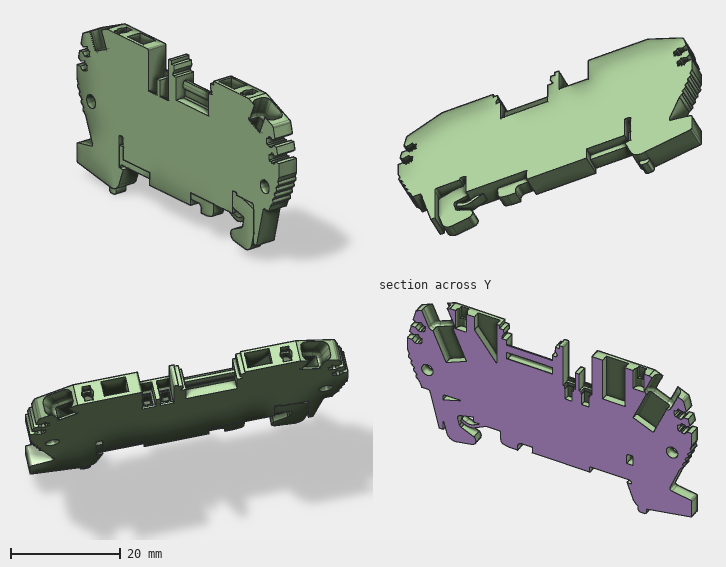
import cadquery as cq
import math

HALF_LENGTH = 29.75
THICKNESS = 4.1
TOP_Z = 32.2
CLEARANCE = 0.6

SHOULDER_X = 20.8
SHOULDER_END_X = 28.0
SHOULDER_END_Z = 29.05
SHOULDER_ANGLE = math.degrees(math.atan2(TOP_Z - SHOULDER_END_Z, SHOULDER_END_X - SHOULDER_X))
SHOULDER_ROUND = 0.7
SIDE_TOP_Z = 22.2

RIB_COUNT = 4
RIB_START_X = 29.4
RIB_START_Z = 18.45
RIB_STEP_X = 0.55
RIB_STEP_Z = 1.35
RIB_BULGE = 0.25
RIB_ROUND_HEIGHT = 0.85
RIB_UNDERSIDE_X = 0.05
SIDE_BOTTOM_Z = 19.4
RIB_END_X = RIB_START_X - RIB_COUNT * RIB_STEP_X
RIB_END_Z = RIB_START_Z - RIB_COUNT * RIB_STEP_Z

RAIL_Z = 7.8
KEEL_Z = 5.3
KEEL_LEFT_X = -8.4
KEEL_RIGHT_X = 3.7
LEFT_SLOT_X = -17.4
SLOT_WIDTH = 1.25
SLOT_TOP_Z = 12.3
SMALL_ROUND = 0.35
RIGHT_STEP_X = 16.0
PRONG_X = 22.3
PRONG_ROOT_Z = 11.8
PRONG_ROUND = 0.55
PRONG_OUTER_X = 25.15
PRONG_TIP_Z = 3.75
TOE_Z = 5.95
FOOT_TOP_Z = 6.7
FOOT_BOTTOM_Z = 2.85
FOOT_CORNER = (-25.0, 7.5)
FOOT_ROUND = 0.5

TEST_LEFT_X = -8.75
TEST_RIGHT_X = -2.85
TEST_FLOOR_Z = 23.9
TEST_WALL_Z = 27.15
TEST_WALL_THICKNESS = 0.5
DIVIDER_LEFT_X = -6.2
DIVIDER_RIGHT_X = -5.35
BRIDGE_LEFT_X = -0.55
BRIDGE_RIGHT_X = 9.0
BRIDGE_FLOOR_Z = 24.8
LEDGE_Z = 29.35
TOP_ROUND = 0.25

FOOT_FRONT_Y = 0.09
FOOT_BACK_Y = 2.45
STRIP_Z = 6.55
STRIP_TOP_Z = 10.3


def plate(sketch_path, front_y=0.0, back_y=THICKNESS):
    """Close an XZ path drawn at Y = 0 and thicken it from front_y to back_y."""
    return sketch_path.close().extrude(front_y - back_y).translate((0, front_y, 0))


def path(*points):
    return cq.Workplane("XZ").polyline(points)


def box(x_range, y_range, z_range):
    size = [high - low for low, high in (x_range, y_range, z_range)]
    corner = (x_range[0], y_range[0], z_range[0])
    return cq.Workplane("XY").box(*size, centered=False).translate(corner)


def both_ends(left_tool):
    return left_tool.union(left_tool.mirror("YZ"))


def round_corner(solid, x, z, radius):
    """Round the edge running along Y that passes through (x, z)."""
    edge = cq.selectors.NearestToPointSelector((x, THICKNESS / 2, z))
    return solid.edges("|Y").edges(edge).fillet(radius)


def make_blank():
    """Housing outline before the top openings, marker notches and ribs."""
    outline = (
        cq.Workplane("XZ")
        .moveTo(-SHOULDER_X, TOP_Z)
        .lineTo(-SHOULDER_END_X, SHOULDER_END_Z)
        .lineTo(-HALF_LENGTH, SIDE_TOP_Z)
        .lineTo(-HALF_LENGTH, SIDE_BOTTOM_Z)
        .lineTo(-RIB_START_X, RIB_START_Z)
        .lineTo(-RIB_END_X, RIB_END_Z)
        .lineTo(*FOOT_CORNER)
        .lineTo(-HALF_LENGTH, FOOT_TOP_Z)
        .lineTo(-HALF_LENGTH, FOOT_BOTTOM_Z)
        .lineTo(-20.3, 1.2)
        .threePointArc((-18.45, 1.3), (-17.45, 2.3))
        .lineTo(-16.1, 5.85)
        .lineTo(LEFT_SLOT_X, TOE_Z)
        .lineTo(LEFT_SLOT_X, RAIL_Z)
        .lineTo(KEEL_LEFT_X, RAIL_Z)
        .lineTo(KEEL_LEFT_X, KEEL_Z)
        .lineTo(KEEL_RIGHT_X, KEEL_Z)
        .lineTo(KEEL_RIGHT_X, RAIL_Z)
        .lineTo(RIGHT_STEP_X, RAIL_Z)
        .lineTo(RIGHT_STEP_X, PRONG_ROOT_Z)
        .lineTo(PRONG_X, PRONG_ROOT_Z)
        .lineTo(PRONG_X, PRONG_TIP_Z)
        .lineTo(23.15, PRONG_TIP_Z)
        .lineTo(PRONG_OUTER_X, PRONG_ROOT_Z)
        .lineTo(26.8, PRONG_ROOT_Z)
        .lineTo(RIB_END_X, RIB_END_Z)
        .lineTo(RIB_START_X, RIB_START_Z)
        .lineTo(HALF_LENGTH, SIDE_BOTTOM_Z)
        .lineTo(HALF_LENGTH, SIDE_TOP_Z)
        .lineTo(SHOULDER_END_X, SHOULDER_END_Z)
        .lineTo(SHOULDER_X, TOP_Z)
    )
    blank = plate(outline)
    for side in (-1, 1):
        blank = round_corner(blank, side * SHOULDER_END_X, SHOULDER_END_Z, SHOULDER_ROUND)
    blank = round_corner(blank, *FOOT_CORNER, FOOT_ROUND)
    for foot_z in (FOOT_TOP_Z, FOOT_BOTTOM_Z):
        blank = round_corner(blank, -HALF_LENGTH, foot_z, SMALL_ROUND)
    blank = round_corner(blank, PRONG_X, PRONG_ROOT_Z, PRONG_ROUND)
    return round_corner(blank, PRONG_OUTER_X, PRONG_ROOT_Z, SMALL_ROUND)


def rail_slots():
    """Round-topped slots at the two ends of the rail seat."""
    slots = cq.Workplane("XY")
    for left_x, bottom_z in ((LEFT_SLOT_X, RAIL_Z - CLEARANCE), (RIGHT_STEP_X, PRONG_ROOT_Z - CLEARANCE)):
        slot = box((left_x, left_x + SLOT_WIDTH), (0, THICKNESS), (bottom_z, SLOT_TOP_Z))
        slots = slots.add(slot.edges("|Y and >Z").fillet(SMALL_ROUND))
    return slots.combine()


def grip_ribs():
    ribs = cq.Workplane("XY")
    for i in range(RIB_COUNT):
        x = -RIB_START_X + i * RIB_STEP_X
        z = RIB_START_Z - i * RIB_STEP_Z
        crest = (x - RIB_BULGE, z - RIB_ROUND_HEIGHT / 2)
        underside = (x + RIB_UNDERSIDE_X, z - RIB_ROUND_HEIGHT)
        rib = cq.Workplane("XZ").moveTo(x, z).threePointArc(crest, underside)
        rib = rib.lineTo(x + RIB_STEP_X, z - RIB_STEP_Z).lineTo(x + RIB_STEP_X, z)
        ribs = ribs.add(plate(rib))
    return both_ends(ribs.combine())


def marker_notches():
    """Two undercut snap notches in each end, the lower one shifted along the slanted side."""
    upper = plate(path(
        (-29.4, 27.35), (-27.95, 26.3), (-26.85, 26.65), (-26.6, 26.2), (-26.05, 26.0), (-26.1, 25.0),
        (-26.4, 24.8), (-26.8, 25.0), (-26.9, 24.65), (-27.5, 24.65), (-28.1, 25.2), (-29.65, 25.2),
    ))
    lower = upper.translate((-0.7, 0, -3.05))
    return both_ends(upper.union(lower))


def top_openings():
    """Test-plug opening and bridge opening with its snap edges."""
    lip_z = 31.5
    above_z = TOP_Z + CLEARANCE
    left_edge_x, right_edge_x = -1.95, 10.5
    test = box((TEST_LEFT_X, TEST_RIGHT_X), (0, THICKNESS), (TEST_FLOOR_Z, above_z))
    bridge = plate(path(
        (BRIDGE_LEFT_X, BRIDGE_FLOOR_Z), (BRIDGE_LEFT_X, LEDGE_Z), (-1.3, LEDGE_Z), (-1.55, 29.65),
        (-1.1, 30.5), (-1.2, lip_z), (left_edge_x, lip_z), (left_edge_x, above_z),
        (right_edge_x, above_z), (right_edge_x, lip_z), (9.65, lip_z), (9.5, 30.5),
        (9.95, 29.8), (9.95, LEDGE_Z), (BRIDGE_RIGHT_X, LEDGE_Z), (BRIDGE_RIGHT_X, BRIDGE_FLOOR_Z),
    ))
    return test.union(bridge)


def test_walls():
    """Back wall and divider left standing in the test-plug opening."""
    heights = (TEST_FLOOR_Z, TEST_WALL_Z)
    back = box((TEST_LEFT_X, TEST_RIGHT_X), (THICKNESS - TEST_WALL_THICKNESS, THICKNESS), heights)
    return back.union(box((DIVIDER_LEFT_X, DIVIDER_RIGHT_X), (0, THICKNESS), heights))


def test_sockets():
    """Sockets stepping down in three levels on both sides of the divider."""
    levels = (
        ((TEST_LEFT_X, DIVIDER_LEFT_X), (DIVIDER_RIGHT_X, TEST_RIGHT_X), (0.35, 3.6), 0.6),
        ((-8.4, -6.6), (-4.9, -3.15), (0.9, 3.05), 1.2),
        ((-8.15, -6.7), (-4.6, -3.3), (1.1, 2.8), 3.55),
    )
    sockets = cq.Workplane("XY")
    for left_x, right_x, y_range, depth in levels:
        for x_range in (left_x, right_x):
            sockets = sockets.union(box(x_range, y_range, (TEST_FLOOR_Z - depth, TEST_FLOOR_Z)))
    return sockets


def bridge_bar():
    """Contact bar with a crowned head, running along the bridge opening."""
    web_y, back_y, top_z = 2.1, 2.45, 28.2
    section = (
        cq.Workplane("YZ")
        .moveTo(1.7, BRIDGE_FLOOR_Z)
        .lineTo(web_y, 25.1)
        .lineTo(web_y, 26.4)
        .threePointArc((1.7, 26.8), (1.6, 27.55))
        .lineTo(1.9, top_z)
        .lineTo(back_y, top_z)
        .lineTo(back_y, BRIDGE_FLOOR_Z)
        .close()
    )
    return section.extrude(BRIDGE_RIGHT_X - BRIDGE_LEFT_X).translate((BRIDGE_LEFT_X, 0, 0))


def wire_funnels():
    """Wire entries square to the shoulders: a wide mouth grazing the front face, then a deep hole."""
    centre_x = -24.1
    mouth_length, mouth_front_y, mouth_back_y = 5.8, -0.005, 3.8
    mouth_depth, mouth_corner, mouth_floor_round = 4.45, 1.3, 0.9
    hole_length, hole_front_y, hole_back_y = 4.5, 0.7, 2.9
    hole_depth, hole_corner = 11.3, 0.35
    mouth_x = (-mouth_length / 2, mouth_length / 2)
    mouth = box(mouth_x, (mouth_front_y, mouth_back_y), (-mouth_depth, CLEARANCE))
    mouth = mouth.edges("|Z").fillet(mouth_corner).faces("<Z").edges().fillet(mouth_floor_round)
    hole_x = (-hole_length / 2, hole_length / 2)
    hole = box(hole_x, (hole_front_y, hole_back_y), (-hole_depth, 0))
    tool = mouth.union(hole.edges("|Z").fillet(hole_corner))
    tool = tool.rotate((0, 0, 0), (0, 1, 0), -SHOULDER_ANGLE)
    shoulder_z = TOP_Z + (centre_x + SHOULDER_X) * math.tan(math.radians(SHOULDER_ANGLE))
    return both_ends(tool.translate((centre_x, 0, shoulder_z)))


def screw_holes():
    """Round blind holes in the top with a driver slot across them."""
    hole_x, hole_y, diameter, depth = 18.55, 1.9, 2.2, 4.15
    slot_width, slot_length, slot_depth = 1.55, 2.85, 2.4
    hole = cq.Workplane("XY").circle(diameter / 2).extrude(-depth)
    slot = cq.Workplane("XY").rect(slot_width, slot_length).extrude(-slot_depth)
    return both_ends(hole.union(slot).translate((-hole_x, hole_y, TOP_Z)))


def wire_windows():
    """Rectangular pockets in the top: a flat floor on the left, a floor rising to +X on the right."""
    near_x, far_x, y_range = 11.1, 15.7, (0.7, 3.6)
    shallow, deep = 3.0, 8.9
    left = box((-far_x, -near_x), y_range, (TOP_Z - deep, TOP_Z))
    right = plate(path(
        (near_x, TOP_Z), (far_x, TOP_Z), (far_x, TOP_Z - shallow), (near_x, TOP_Z - deep)), *y_range)
    return left.union(right)


def locating_holes():
    """Tapered blind holes in the front face, one at each end."""
    hole_x, hole_z, depth = 25.6, 16.25, 3.0
    mouth_diameter, floor_diameter = 2.6, 2.2
    hole = cq.Solid.makeCone(
        mouth_diameter / 2, floor_diameter / 2, depth, cq.Vector(-hole_x, 0, hole_z), cq.Vector(0, 1, 0))
    return both_ends(cq.Workplane("XY").add(hole))


def metal_foot():
    """Exposed parts of the rail foot: tab, strip, tongue and spring hook."""
    tab_left_x, tab_right_x, tab_root_z = -20.3, -18.4, 1.8
    tab = cq.Workplane("XZ").moveTo(tab_left_x, tab_root_z).lineTo(tab_left_x, 0.6)
    tab = tab.threePointArc((-20.2, 0.25), (-19.8, 0)).lineTo(-18.85, 0)
    tab = tab.threePointArc((-18.5, 0.3), (tab_right_x, 0.8)).lineTo(tab_right_x, tab_root_z)

    slot_right_x = LEFT_SLOT_X + SLOT_WIDTH
    strip = cq.Workplane("XZ").moveTo(LEFT_SLOT_X, STRIP_TOP_Z).lineTo(LEFT_SLOT_X, TOE_Z).lineTo(-17.0, TOE_Z)
    strip = strip.threePointArc((-16.95, 6.35), (-16.6, STRIP_Z)).lineTo(KEEL_LEFT_X, STRIP_Z)
    strip = strip.lineTo(KEEL_LEFT_X, RAIL_Z).lineTo(slot_right_x, RAIL_Z).lineTo(slot_right_x, STRIP_TOP_Z)

    tip_z = 4.75
    tongue = cq.Workplane("XZ").moveTo(KEEL_RIGHT_X, RAIL_Z).lineTo(KEEL_RIGHT_X, STRIP_Z)
    tongue = tongue.lineTo(5.9, STRIP_Z)
    tongue = tongue.threePointArc((6.5, 6.25), (6.7, 5.65)).lineTo(6.7, tip_z).lineTo(8.45, tip_z)
    tongue = tongue.lineTo(9.6, 5.0).threePointArc((10.1, 5.35), (10.3, 5.9)).lineTo(10.4, RAIL_Z)

    hook = (
        cq.Workplane("XZ")
        .moveTo(RIGHT_STEP_X, SLOT_TOP_Z)
        .lineTo(RIGHT_STEP_X, 8.9)
        .lineTo(18.6, 8.3)
        .threePointArc((19.15, 8.0), (19.2, 7.5))
        .lineTo(18.85, 6.1)
        .lineTo(18.5, 5.7)
        .lineTo(15.8, 4.5)
        .threePointArc((15.4, 3.55), (16.3, 2.5))
        .lineTo(19.65, 1.9)
        .threePointArc((20.8, 2.2), (21.6, 3.35))
        .lineTo(PRONG_X, 5.95)
        .lineTo(PRONG_X, 10.65)
        .lineTo(18.7, PRONG_ROOT_Z)
        .lineTo(RIGHT_STEP_X + SLOT_WIDTH, PRONG_ROOT_Z)
        .lineTo(RIGHT_STEP_X + SLOT_WIDTH, SLOT_TOP_Z)
    )
    foot = cq.Workplane("XY")
    for part in (tab, strip, tongue, hook):
        foot = foot.union(plate(part, FOOT_FRONT_Y, FOOT_BACK_Y))
    return foot


def spring_leaf():
    """Bent leaf that reaches from the housing towards the hook."""
    front_y = 0.7
    leaf = cq.Workplane("XZ").moveTo(12.75, 8.05).lineTo(13.25, RAIL_Z).lineTo(15.6, 6.6)
    leaf = leaf.threePointArc((16.8, 6.3), (17.95, 6.65)).lineTo(18.75, 7.0).lineTo(18.45, 7.75)
    leaf = leaf.lineTo(17.55, 7.25).threePointArc((16.8, 7.1), (15.95, 7.25)).lineTo(14.4, 8.05)
    return plate(leaf, front_y, FOOT_BACK_Y)


housing = make_blank().cut(rail_slots()).union(grip_ribs()).cut(marker_notches()).cut(top_openings())
for edge_x in (TEST_LEFT_X, TEST_RIGHT_X):
    housing = round_corner(housing, edge_x, TOP_Z, TOP_ROUND)
housing = housing.union(test_walls()).union(bridge_bar())
for tool in (test_sockets(), wire_funnels(), screw_holes(), wire_windows(), locating_holes()):
    housing = housing.cut(tool)

result = housing.union(metal_foot()).union(spring_leaf())